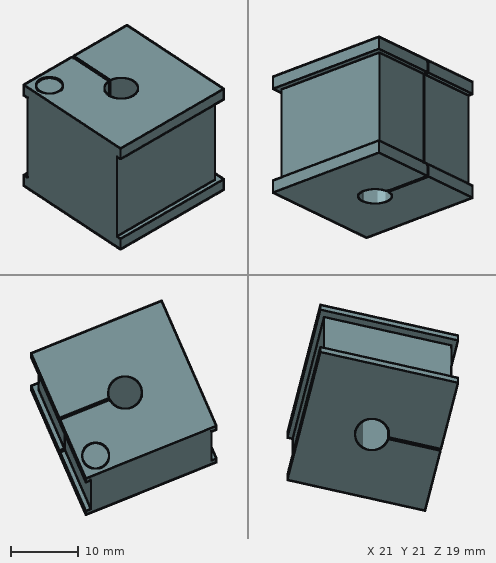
import cadquery as cq

side = 21.0
height = 19.0

flange_thickness = 2.0
side_overhang = 0.8
back_overhang = 1.0

bore_diameter = 5.0
slit_width = 0.3

recess_diameter = 4.0
recess_corner_offset = 2.7
recess_depth = 0.2

body_width = side - 2 * side_overhang
body_depth = side - back_overhang
body_height = height - 2 * flange_thickness
center_x = side / 2
center_y = body_depth / 2


def corner_box(width, depth, thickness, x, y, z):
    """Box with its lowest corner at (x, y, z)."""
    return cq.Workplane("XY").box(width, depth, thickness, centered=False).translate((x, y, z))


def round_cutter(diameter, x, y, bottom, top):
    """Vertical cylinder between two heights."""
    return cq.Workplane("XY", origin=(x, y, bottom)).circle(diameter / 2).extrude(top - bottom)


part = corner_box(body_width, body_depth, body_height, side_overhang, 0, flange_thickness)
for flange_bottom in (0, height - flange_thickness):
    part = part.union(corner_box(side, side, flange_thickness, 0, 0, flange_bottom))

part = part.cut(round_cutter(bore_diameter, center_x, center_y, 0, height))
part = part.cut(corner_box(center_x, slit_width, height, 0, center_y - slit_width / 2, 0))

part = part.cut(
    round_cutter(recess_diameter, recess_corner_offset, recess_corner_offset, height - recess_depth, height)
)

result = part